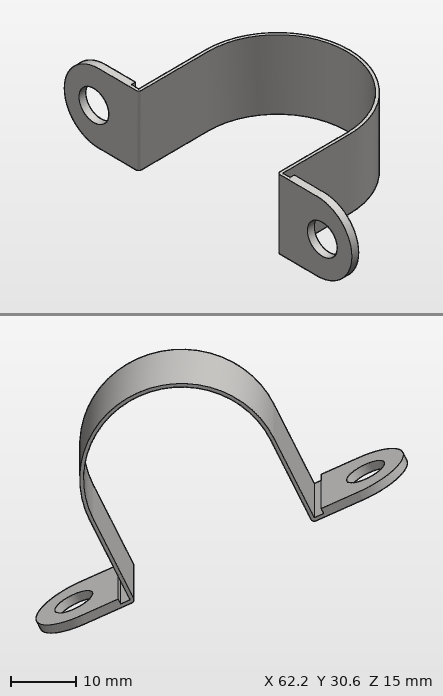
import cadquery as cq

length = 62.2
width = 15.0
strap_thickness = 0.6
inner_radius = 15.0
leg_height = 15.0
lug_thickness = 1.5
lug_inner_x = 17.15
hole_diameter = 6.4
hole_x = 24.7

outer_radius = inner_radius + strap_thickness
bow_top = outer_radius
mounting_y = -leg_height
flange_top = mounting_y + strap_thickness
lug_top = mounting_y + lug_thickness
end_x = length / 2
bend_radius = strap_thickness


def make_profile():
    """Bow, legs and stepped flanges, extruded across the strap width."""
    profile = (
        cq.Workplane("XY")
        .moveTo(-end_x, mounting_y)
        .lineTo(-inner_radius, mounting_y)
        .lineTo(-inner_radius, 0)
        .threePointArc((0, inner_radius), (inner_radius, 0))
        .lineTo(inner_radius, mounting_y)
        .lineTo(end_x, mounting_y)
        .lineTo(end_x, lug_top)
        .lineTo(lug_inner_x, lug_top)
        .lineTo(lug_inner_x, flange_top)
        .lineTo(outer_radius, flange_top)
        .lineTo(outer_radius, 0)
        .threePointArc((0, bow_top), (-outer_radius, 0))
        .lineTo(-outer_radius, flange_top)
        .lineTo(-lug_inner_x, flange_top)
        .lineTo(-lug_inner_x, lug_top)
        .lineTo(-end_x, lug_top)
        .close()
        .extrude(width / 2, both=True)
    )
    bend_edges = cq.selectors.BoxSelector(
        (-inner_radius - bend_radius / 2, mounting_y - bend_radius / 2, -width),
        (inner_radius + bend_radius / 2, mounting_y + bend_radius / 2, width),
    )
    return profile.edges("|Z").edges(bend_edges).fillet(bend_radius)


def make_rounded_envelope():
    """Slot-shaped block that rounds both lug ends when intersected."""
    return (
        cq.Workplane("XZ", origin=(0, mounting_y, 0))
        .slot2D(length, width)
        .extrude(-(bow_top - mounting_y))
    )


def make_screw_holes():
    """One through hole in each lug."""
    return (
        cq.Workplane("XZ", origin=(0, mounting_y, 0))
        .pushPoints([(-hole_x, 0), (hole_x, 0)])
        .circle(hole_diameter / 2)
        .extrude(-lug_thickness)
    )


result = make_profile().intersect(make_rounded_envelope()).cut(make_screw_holes())